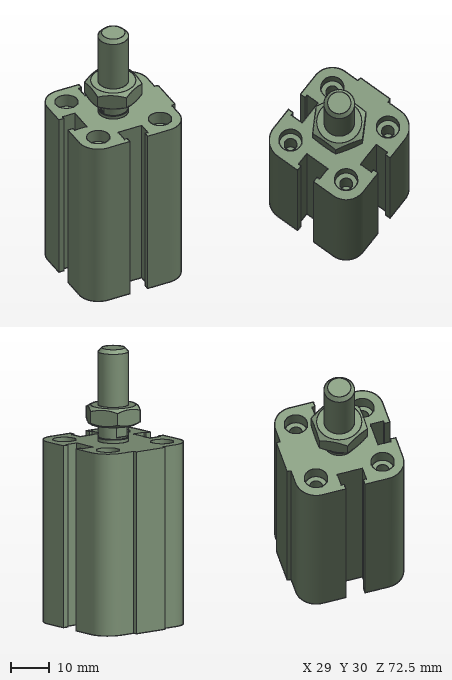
import cadquery as cq
import math


body_width = 29.0
body_height = 48.0
hole_offset = 9.0
corner_radius = body_width / 2 - hole_offset

slot_mouth_width = 5.15
slot_inner_width = 6.8
slot_lip_thickness = 1.5
slot_depth = 5.1

rail_height = 1.0
rail_base_width = 9.85
rail_top_width = 9.5

mount_hole_diameter = 3.25
counterbore_diameter = 6.0
counterbore_depth = 3.5
mount_hole_depth = 10.0

nut_bottom = 52.5
nut_thickness = 5.0
nut_across_flats = 13.0
nut_face_diameter = 11.7
nut_chamfer_angle = 30.0

rod_diameter = 8.0
rod_top = 72.5
rod_tip_diameter = 6.0
rod_tip_chamfer_height = 1.0
collar_height = 0.9
neck_diameter = 7.8
neck_taper_height = 0.2
neck_across_flats = 7.0
flats_bottom = 49.5


def make_slot():
    """T-slot cutter in the -Y side, running the full height of the housing."""
    outer_y = -body_width / 2
    lip_y = outer_y + slot_lip_thickness
    floor_y = outer_y + slot_depth
    mouth_x = slot_mouth_width / 2
    inner_x = slot_inner_width / 2
    outline = [
        (-mouth_x, outer_y),
        (-mouth_x, lip_y),
        (-inner_x, lip_y),
        (-inner_x, floor_y),
        (inner_x, floor_y),
        (inner_x, lip_y),
        (mouth_x, lip_y),
        (mouth_x, outer_y),
    ]
    return cq.Workplane("XY").polyline(outline).close().extrude(body_height)


def make_rail():
    """Slightly tapered rail on the +Y side, running the full height of the housing."""
    base_y = body_width / 2
    top_y = base_y + rail_height
    outline = [
        (-rail_base_width / 2, base_y),
        (rail_base_width / 2, base_y),
        (rail_top_width / 2, top_y),
        (-rail_top_width / 2, top_y),
    ]
    return cq.Workplane("XY").polyline(outline).close().extrude(body_height)


def make_housing():
    housing = (
        cq.Workplane("XY")
        .rect(body_width, body_width)
        .extrude(body_height)
        .edges("|Z")
        .fillet(corner_radius)
        .union(make_rail())
    )
    for angle in (-90, 0, 90):
        housing = housing.cut(make_slot().rotate((0, 0, 0), (0, 0, 1), angle))
    return (
        housing.faces(">Z")
        .workplane(origin=(0, 0, body_height))
        .rect(2 * hole_offset, 2 * hole_offset, forConstruction=True)
        .vertices()
        .cboreHole(mount_hole_diameter, counterbore_diameter, counterbore_depth, mount_hole_depth)
    )


def make_nut():
    """Hexagon nut with corners on the X axis and both faces chamfered."""
    half_side_angle = math.pi / 6
    hex_radius = nut_across_flats / 2 / math.cos(half_side_angle)
    face_radius = nut_face_diameter / 2
    chamfer_drop = (hex_radius - face_radius) * math.tan(math.radians(nut_chamfer_angle))
    nut_top = nut_bottom + nut_thickness
    hexagon = (
        cq.Workplane("XY", origin=(0, 0, nut_bottom))
        .polygon(6, 2 * hex_radius)
        .circle(rod_diameter / 2)
        .extrude(nut_thickness)
    )
    profile = [
        (0, nut_bottom),
        (face_radius, nut_bottom),
        (hex_radius, nut_bottom + chamfer_drop),
        (hex_radius, nut_top - chamfer_drop),
        (face_radius, nut_top),
        (0, nut_top),
    ]
    chamfer_envelope = cq.Workplane("XZ").polyline(profile).close().revolve(360, (0, 0), (0, 1))
    return hexagon.intersect(chamfer_envelope)


def make_rod():
    """Rod standing on the housing: collar, neck with two wrench flats, and stud with chamfered tip."""
    rod_radius = rod_diameter / 2
    neck_radius = neck_diameter / 2
    collar_top = body_height + collar_height
    profile = [
        (0, body_height),
        (rod_radius, body_height),
        (rod_radius, collar_top),
        (neck_radius, collar_top + neck_taper_height),
        (neck_radius, nut_bottom - neck_taper_height),
        (rod_radius, nut_bottom),
        (rod_radius, rod_top - rod_tip_chamfer_height),
        (rod_tip_diameter / 2, rod_top),
        (0, rod_top),
    ]
    rod = cq.Workplane("XZ").polyline(profile).close().revolve(360, (0, 0), (0, 1))
    flat_cutters = (
        cq.Workplane("XY", origin=(0, 0, flats_bottom))
        .rect(2 * rod_diameter, 2 * rod_diameter)
        .rect(2 * rod_diameter, neck_across_flats)
        .extrude(nut_bottom - flats_bottom)
    )
    return rod.cut(flat_cutters)


housing = make_housing()
nut = make_nut()
rod = make_rod()

result = cq.Compound.makeCompound([housing.val(), nut.val(), rod.val()])